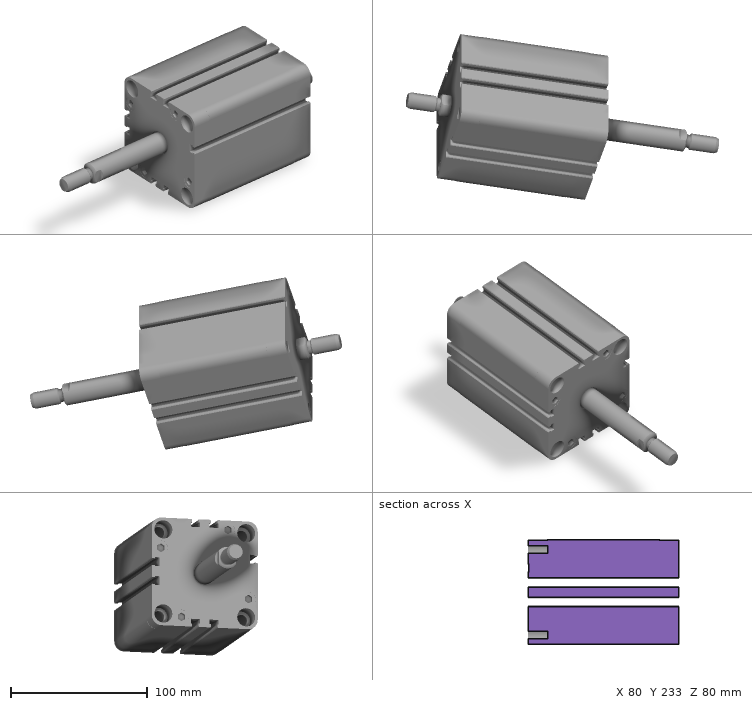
import cadquery as cq


BODY_WIDTH = 80.0
BODY_LENGTH = 110.2
CAP_LENGTH = 14.3
CAP_CORNER_RADIUS = 7.25
TUBE_CORNER_RADIUS = 6.8
HALF_WIDTH = BODY_WIDTH / 2

GROOVE_NECK_WIDTH = 4.9
GROOVE_NECK_DEPTH = 2.4
GROOVE_MOUTH_CHAMFER = 0.5
GROOVE_WIDTH = 6.6
GROOVE_DEPTH = 5.8
GROOVE_OFFSET = 7.05
SINGLE_GROOVE_OFFSET = 12.1

MOUNT_SPACING = 62.5
MOUNT_HOLE_DIAMETER = 8.57
MOUNT_BORE_DIAMETER = 13.5
MOUNT_BORE_DEPTH = CAP_LENGTH

SCREW_OFFSET_LONG = 33.1
SCREW_OFFSET_SHORT = 17.55
SCREW_HEAD_DIAMETER = 10.5
SCREW_HEAD_SINK = 0.2
SOCKET_ACROSS_FLATS = 5.5
SOCKET_DEPTH = 3.0

ROD_DIAMETER = 16.0
ROD_FRONT_PROJECTION = 91.4
ROD_REAR_PROJECTION = 31.4
ROD_RECESS_DIAMETER = 18.0
ROD_RECESS_DEPTH = 1.0

THREAD_DIAMETER = 12.0
TIP_DIAMETER = 10.0
TIP_CHAMFER_LENGTH = 2.4
UNDERCUT_DIAMETER = 9.6
UNDERCUT_TAPER = 1.0
THREAD_REACH = 20.5
SHOULDER_START_REACH = 24.0
SHOULDER_MIDDLE_REACH = 24.3
SHOULDER_END_REACH = 25.4
FLAT_REACH = 29.5
FLATS_WIDTH = 13.0


def front_plane():
    """Sketch plane on the front face: local x = X, local y = Z, normal -Y."""
    return cq.Workplane("XZ")


def groove_cutter(offset, angle):
    """Groove in the top side at x = offset, then turned about the Y axis."""
    neck_x = GROOVE_NECK_WIDTH / 2
    mouth_x = neck_x + GROOVE_MOUTH_CHAMFER
    chamber_x = GROOVE_WIDTH / 2
    chamfer_z = HALF_WIDTH - GROOVE_MOUTH_CHAMFER
    neck_z = HALF_WIDTH - GROOVE_NECK_DEPTH
    floor_z = HALF_WIDTH - GROOVE_DEPTH
    right_half = [
        (mouth_x, HALF_WIDTH),
        (neck_x, chamfer_z),
        (neck_x, neck_z),
        (chamber_x, neck_z),
        (chamber_x, floor_z),
    ]
    left_half = [(-x, z) for x, z in reversed(right_half)]
    return (
        front_plane()
        .polyline([(offset + x, z) for x, z in right_half + left_half])
        .close()
        .extrude(-BODY_LENGTH)
        .rotate((0, 0, 0), (0, 1, 0), angle)
    )


def make_section(start_y, length, corner_radius):
    """Length of square bar with the grooves already cut through it."""
    bar = (
        cq.Workplane("XZ", origin=(0, start_y, 0))
        .rect(BODY_WIDTH, BODY_WIDTH)
        .extrude(-length)
        .edges("|Y")
        .fillet(corner_radius)
    )
    top, right, bottom, left = 0, 90, 180, 270
    for side in (top, bottom, left):
        for offset in (-GROOVE_OFFSET, GROOVE_OFFSET):
            bar = bar.cut(groove_cutter(offset, side))
    return bar.cut(groove_cutter(-SINGLE_GROOVE_OFFSET, right))


def make_body():
    tube_length = BODY_LENGTH - 2 * CAP_LENGTH
    front_cap = make_section(0, CAP_LENGTH, CAP_CORNER_RADIUS)
    tube = make_section(CAP_LENGTH, tube_length, TUBE_CORNER_RADIUS)
    rear_cap = make_section(CAP_LENGTH + tube_length, CAP_LENGTH, CAP_CORNER_RADIUS)
    return front_cap.union(tube, clean=False).union(rear_cap, clean=False)


def cut_mounting_holes(body):
    def corner_cylinders(diameter, depth):
        return (
            front_plane()
            .rect(MOUNT_SPACING, MOUNT_SPACING, forConstruction=True)
            .vertices()
            .circle(diameter / 2)
            .extrude(-depth)
        )

    body = body.cut(corner_cylinders(MOUNT_HOLE_DIAMETER, BODY_LENGTH), clean=False)
    return body.cut(corner_cylinders(MOUNT_BORE_DIAMETER, MOUNT_BORE_DEPTH), clean=False)


def cut_cap_screws(body):
    """Screw heads sunk just below the front face, each with a hexagon socket."""
    centres = [
        (SCREW_OFFSET_SHORT, SCREW_OFFSET_LONG),
        (SCREW_OFFSET_LONG, -SCREW_OFFSET_SHORT),
        (-SCREW_OFFSET_SHORT, -SCREW_OFFSET_LONG),
        (-SCREW_OFFSET_LONG, SCREW_OFFSET_SHORT),
    ]
    for x, z in centres:
        bore = (
            front_plane()
            .center(x, z)
            .circle(SCREW_HEAD_DIAMETER / 2)
            .extrude(-SCREW_HEAD_SINK)
        )
        socket = (
            cq.Workplane("XZ", origin=(x, 0, z))
            .polygon(6, SOCKET_ACROSS_FLATS, circumscribed=True)
            .extrude(-SOCKET_DEPTH)
        )
        body = body.cut(bore, clean=False).cut(socket, clean=False)
    return body


def cut_rod_recess(body):
    recess = front_plane().circle(ROD_RECESS_DIAMETER / 2).extrude(-ROD_RECESS_DEPTH)
    return body.cut(recess, clean=False)


def make_half_rod(projection):
    """Rod from the middle of the body out through the front face."""
    inner_y = BODY_LENGTH / 2
    tip_y = -projection
    undercut_radius = UNDERCUT_DIAMETER / 2
    thread_radius = THREAD_DIAMETER / 2
    rod_radius = ROD_DIAMETER / 2
    shoulder_y = tip_y + SHOULDER_START_REACH
    rod = (
        cq.Workplane("XY")
        .moveTo(0, tip_y)
        .lineTo(TIP_DIAMETER / 2, tip_y)
        .lineTo(thread_radius, tip_y + TIP_CHAMFER_LENGTH)
        .lineTo(thread_radius, tip_y + THREAD_REACH)
        .lineTo(undercut_radius, tip_y + THREAD_REACH + UNDERCUT_TAPER)
        .lineTo(undercut_radius, shoulder_y)
        .threePointArc(
            ((undercut_radius + rod_radius) / 2, tip_y + SHOULDER_MIDDLE_REACH),
            (rod_radius, tip_y + SHOULDER_END_REACH),
        )
        .lineTo(rod_radius, inner_y)
        .lineTo(0, inner_y)
        .close()
        .revolve(360, (0, 0), (0, 1))
    )

    run_out = rod_radius - FLATS_WIDTH / 2
    flat_cut = (
        cq.Workplane("XY")
        .polyline([
            (FLATS_WIDTH / 2, shoulder_y),
            (FLATS_WIDTH / 2, tip_y + FLAT_REACH),
            (rod_radius, tip_y + FLAT_REACH + run_out),
            (rod_radius, shoulder_y),
        ])
        .close()
        .extrude(rod_radius, both=True)
    )
    return rod.cut(flat_cut).cut(flat_cut.mirror("YZ"))


def make_rod():
    front_half = make_half_rod(ROD_FRONT_PROJECTION)
    rear_half = (
        make_half_rod(ROD_REAR_PROJECTION)
        .mirror("XZ")
        .translate((0, BODY_LENGTH, 0))
    )
    return front_half.union(rear_half)


cylinder_body = make_body()
cylinder_body = cut_mounting_holes(cylinder_body)
cylinder_body = cut_cap_screws(cylinder_body)
cylinder_body = cut_rod_recess(cylinder_body)
result = cylinder_body.union(make_rod(), clean=False)